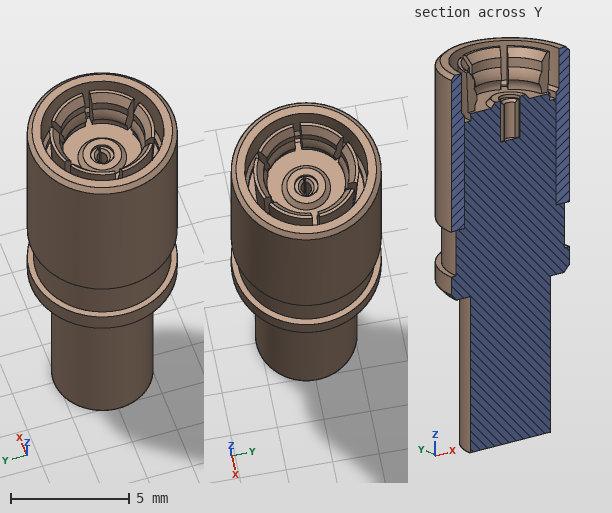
import cadquery as cq

total_height = 17.1
outer_diameter = 6.35
sleeve_radius = outer_diameter / 2
neck_radius = 2.9
tail_radius = 2.15

tail_height = 7.0
flange_height = 1.11
neck_height = 2.0
flange_chamfer = 0.3
flange_top = tail_height + flange_height
sleeve_bottom = flange_top + neck_height

mouth_radius = 2.6
bore_radius = 2.45
bore_cone_height = mouth_radius - bore_radius
bore_cone_top_z = total_height - 1.78
rim_chamfer_width = 0.2
rim_chamfer_height = 0.19

groove_floor_z = total_height - 2.22
finger_top_z = total_height - 0.1
finger_tip_outer_radius = 2.22
finger_root_outer_radius = 2.12
finger_tip_inner_radius = 2.09
finger_bore_radius = 1.81
lead_in_end_z = total_height - 0.48
bead_top_z = total_height - 0.9
bead_radius = 1.66
bead_bottom_z = total_height - 1.44
bead_middle = (1.7, total_height - 1.16)
undercut_middle = (1.78, total_height - 1.7)
floor_radius = 1.78
floor_z = total_height - 1.9

slot_count = 6
slot_width = 0.3

boss_base_radius = 1.03
boss_top_radius = 0.82
boss_top_z = total_height - 1.68
recess_radius = 0.5
recess_depth = 0.14
contact_tip_z = boss_top_z - recess_depth
contact_bore_radius = 0.32
contact_bore_depth = 1.71
contact_countersink = 0.12
contact_half_shift = 0.111
contact_slit_width = 0.07


def revolve_about_z(profile):
    """Full turn of a closed profile drawn in the XZ plane."""
    return profile.revolve(360, (0, 0, 0), (0, 1, 0))


def make_sleeve():
    """Outer sleeve, standing on the shoulder at the top of the neck."""
    profile = (
        cq.Workplane("XZ")
        .moveTo(bore_radius, sleeve_bottom)
        .lineTo(sleeve_radius, sleeve_bottom)
        .lineTo(sleeve_radius, total_height - rim_chamfer_height)
        .lineTo(sleeve_radius - rim_chamfer_width, total_height)
        .lineTo(mouth_radius, total_height)
        .lineTo(mouth_radius, bore_cone_top_z)
        .lineTo(bore_radius, bore_cone_top_z - bore_cone_height)
        .close()
    )
    return revolve_about_z(profile)


def make_turned_core():
    """Tail, flange, neck, unslotted finger ring and boss as one turned shape."""
    profile = (
        cq.Workplane("XZ")
        .lineTo(tail_radius, 0)
        .lineTo(tail_radius, tail_height)
        .lineTo(sleeve_radius - flange_chamfer, tail_height)
        .lineTo(sleeve_radius, tail_height + flange_chamfer)
        .lineTo(sleeve_radius, flange_top)
        .lineTo(neck_radius, flange_top)
        .lineTo(neck_radius, sleeve_bottom)
        .lineTo(bore_radius, sleeve_bottom)
        .lineTo(bore_radius, groove_floor_z)
        .lineTo(finger_root_outer_radius, groove_floor_z)
        .lineTo(finger_tip_outer_radius, finger_top_z)
        .lineTo(finger_tip_inner_radius, finger_top_z)
        .lineTo(finger_bore_radius, lead_in_end_z)
        .lineTo(finger_bore_radius, bead_top_z)
        .threePointArc(bead_middle, (bead_radius, bead_bottom_z))
        .threePointArc(undercut_middle, (floor_radius, floor_z))
        .lineTo(boss_base_radius, floor_z)
        .lineTo(boss_top_radius, boss_top_z)
        .lineTo(0, boss_top_z)
        .close()
    )
    return revolve_about_z(profile)


def cut_finger_slots(core):
    """Cut radial slots through the finger ring, down to the socket floor."""
    ring = (
        cq.Workplane("XY", origin=(0, 0, floor_z))
        .circle(bore_radius)
        .circle(boss_base_radius)
        .extrude(total_height - floor_z)
    )
    for index in range(slot_count // 2):
        bar = (
            cq.Workplane("XY", origin=(0, 0, floor_z))
            .rect(2 * sleeve_radius, slot_width)
            .extrude(total_height - floor_z)
            .rotate((0, 0, 0), (0, 0, 1), index * 360 / slot_count)
        )
        core = core.cut(bar.intersect(ring))
    return core


def make_shifted_bore(shift):
    """Countersunk contact bore with its axis moved along Y."""
    bore_bottom_z = contact_tip_z - contact_bore_depth
    countersink_z = contact_tip_z - contact_countersink
    profile = (
        cq.Workplane("XZ")
        .moveTo(0, bore_bottom_z)
        .lineTo(contact_bore_radius, bore_bottom_z)
        .lineTo(contact_bore_radius, countersink_z)
        .lineTo(contact_bore_radius + contact_countersink, contact_tip_z)
        .lineTo(0, contact_tip_z)
        .close()
    )
    return revolve_about_z(profile).translate((0, shift, 0))


def cut_contact_socket(core):
    """Cut the recess, the lens-shaped bore between the squeezed halves, and the slit."""
    recess = (
        cq.Workplane("XY", origin=(0, 0, contact_tip_z))
        .circle(recess_radius)
        .extrude(recess_depth)
    )
    lens_bore = make_shifted_bore(contact_half_shift).intersect(make_shifted_bore(-contact_half_shift))
    slit = (
        cq.Workplane("XY", origin=(0, 0, contact_tip_z - contact_bore_depth))
        .rect(2 * recess_radius, contact_slit_width)
        .extrude(contact_bore_depth)
    )
    return core.cut(recess).cut(lens_bore).cut(slit)


sleeve = make_sleeve()
core = cut_contact_socket(cut_finger_slots(make_turned_core()))

result = cq.Compound.makeCompound([sleeve.val(), core.val()])